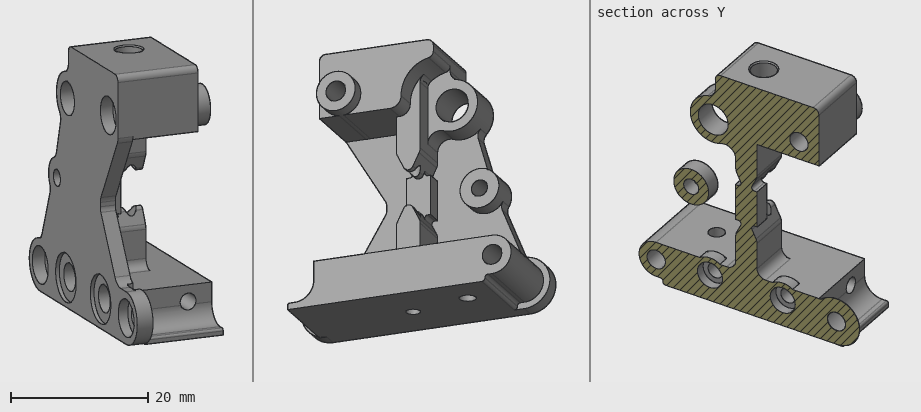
import cadquery as cq
import math

plate_thickness = 2.4
total_depth = 14.95
total_height = 39.85
corner_radius = 1.0
edge_fillet = 1.5

ear_x = 15.5
ear_radius = 4.0
ear_z = ear_radius
right_ear_depth = 2.5
right_flank_thickness = 1.5
screw_hole_dia = 3.05
screw_head_dia = 5.7
right_head_depth = 1.5
screw_head_depth = 2.0

top_left_x = -5.4
top_right_x = 12.5
neck_x = 6.15
neck_half_height = 0.75
shoulder_z = 29.97
flank_start_x = 12.15
flank_fillet = 2.4
left_waist_x = -10.85
left_foot_x = -16.9
left_flank_top_x = -7.0

large_boss_x = -5.7
large_boss_z = 31.73
large_boss_radius = 4.0
large_boss_depth = 6.2
large_bore_dia = 5.05
gear_z = 18.75
small_boss_x = -9.5
small_boss_dia = 6.1
small_boss_depth = 5.0
small_bore_dia = 2.5

body_depth = 12.75
body_left_x = -0.3
body_lower_radius = 1.7
clearance_radius = body_left_x - large_boss_x
bar_corner_radius = 0.9
post_x = 9.05
post_z = 33.0
post_dia = 6.1

column_depth = 9.15
column_half_width = 1.87
wedge_apex_offset = 1.75
wedge_slope = 2.0
wedge_tip_radius = 0.8
wedge_shoulder_radius = 1.6
wedge_run = wedge_apex_offset + wedge_slope * column_half_width + wedge_shoulder_radius
column_top_fillet = 1.45
column_boss_fillet = 1.85
column_foot_fillet = 1.47
root_half_width = column_half_width + 2 * column_foot_fillet
bridge_half_height = 3.05
bridge_depth = 5.15
bridge_fillet = 0.48

filament_y = 7.25
filament_dia = 2.1
coupler_dia = 4.0
coupler_depth = 4.4
coupler_chamfer = 0.2

block_height = 6.98
block_end_radius = block_height - ear_z
shelf_height = ear_z - block_end_radius
shelf_overhang = 1.1
shelf_corner_radius = 0.35
foot_step_radius = 0.48
foot_hole_x = -9.45
foot_hole_y = 9.4
foot_hole_dia = 2.5

port_x = 6.25
port_z = 4.45
port_seat_dia = 7.4
port_seat_depth = 0.6
port_bore_dia = 4.23
port_bore_depth = 4.0
port_hole_dia = 2.5
port_collar_dia = 6.1
port_collar_depth = 4.3
channel_y = 11.15


def front_plane(y):
    """XZ sketch plane at depth y; a negative extrusion goes toward +Y."""
    return cq.Workplane("XZ", origin=(0, y, 0))


def prism(points, y_start, y_end):
    return front_plane(y_start).polyline(points).close().extrude(y_start - y_end)


def slab(x_min, x_max, z_min, z_max, y_start, y_end):
    corners = [(x_min, z_min), (x_max, z_min), (x_max, z_max), (x_min, z_max)]
    return prism(corners, y_start, y_end)


def rod(x, z, diameter, y_start, y_end):
    return front_plane(y_start).center(x, z).circle(diameter / 2).extrude(y_start - y_end)


def round_corner(solid, x, z, radius):
    """Round the edge along Y that is nearest to (x, z)."""
    y = solid.val().BoundingBox().center.y
    return solid.edges("|Y").edges(cq.NearestToPointSelector((x, y, z))).fillet(radius)


def leave_circle(inside, outside, center, radius):
    """Point where the line from a point inside a circle to one outside it crosses the circle."""
    dx, dz = outside[0] - inside[0], outside[1] - inside[1]
    ox, oz = inside[0] - center[0], inside[1] - center[1]
    a = dx**2 + dz**2
    b = ox * dx + oz * dz
    c = ox**2 + oz**2 - radius**2
    step = (math.sqrt(b**2 - a * c) - b) / a
    return inside[0] + step * dx, inside[1] + step * dz


def rise(radius, offset):
    """Height of a circle above its center at a sideways offset."""
    return math.sqrt(radius**2 - offset**2)


def make_plate():
    flank_top = (left_flank_top_x, large_boss_z)
    waist = (left_waist_x, gear_z)
    flank_foot = (left_foot_x, ear_z)
    outline = [
        (-ear_x, 0),
        (ear_x, 0),
        (ear_x, 2 * ear_radius),
        (flank_start_x, 2 * ear_radius),
        (neck_x, gear_z - neck_half_height),
        (neck_x, gear_z + neck_half_height),
        (top_right_x, shoulder_z),
        (top_right_x, total_height),
        (top_left_x, total_height),
        (top_left_x, large_boss_z),
        flank_top,
        waist,
        flank_foot,
        (-ear_x, ear_z),
    ]
    plate = prism(outline, 0, plate_thickness)
    for x in (-ear_x, ear_x):
        plate = plate.union(rod(x, ear_z, 2 * ear_radius, 0, plate_thickness))
    plate = plate.union(rod(large_boss_x, large_boss_z, 2 * large_boss_radius, 0, plate_thickness))
    plate = plate.union(rod(small_boss_x, gear_z, small_boss_dia, 0, plate_thickness))

    plate = round_corner(plate, flank_start_x, 2 * ear_radius, flank_fillet)
    for x in (top_left_x, top_right_x):
        plate = round_corner(plate, x, total_height, corner_radius)
    edge_corners = [
        (neck_x, gear_z - neck_half_height),
        (neck_x, gear_z + neck_half_height),
        (top_right_x, shoulder_z),
        (top_left_x, large_boss_z + large_boss_radius),
        leave_circle(flank_top, waist, (large_boss_x, large_boss_z), large_boss_radius),
        leave_circle(waist, flank_top, (small_boss_x, gear_z), small_boss_dia / 2),
        leave_circle(waist, flank_foot, (small_boss_x, gear_z), small_boss_dia / 2),
        leave_circle(flank_foot, waist, (-ear_x, ear_z), ear_radius),
    ]
    for x, z in edge_corners:
        plate = round_corner(plate, x, z, edge_fillet)

    flank_relief = slab(top_right_x, ear_x + ear_radius, block_height, shoulder_z,
                        right_flank_thickness, plate_thickness)
    return plate.cut(flank_relief).union(rod(ear_x, ear_z, 2 * ear_radius, 0, right_ear_depth))


def make_large_boss():
    """Boss around the large bore, blended into the top corner and the column."""
    boss = rod(large_boss_x, large_boss_z, 2 * large_boss_radius, 0, large_boss_depth)
    boss = boss.union(slab(top_left_x, column_half_width, large_boss_z, total_height, 0, large_boss_depth))
    boss = boss.union(slab(-column_half_width, column_half_width, gear_z + wedge_run, large_boss_z,
                           0, large_boss_depth))
    boss = round_corner(boss, top_left_x, total_height, corner_radius)
    boss = round_corner(boss, top_left_x, large_boss_z + large_boss_radius, edge_fillet)
    meeting_z = large_boss_z - rise(large_boss_radius, large_boss_x + column_half_width)
    return round_corner(boss, -column_half_width, meeting_z, column_boss_fillet)


def make_rear_body():
    """Deep body under the top edge with the filament column's upper half hanging below it."""
    body = slab(top_left_x, top_right_x, shoulder_z, total_height, plate_thickness, body_depth)
    clearance = rod(large_boss_x, large_boss_z, 2 * clearance_radius, plate_thickness, body_depth)
    clearance = clearance.union(slab(large_boss_x - clearance_radius, body_left_x, shoulder_z, large_boss_z,
                                     plate_thickness, body_depth))
    body = body.cut(clearance)
    for x in (top_left_x, top_right_x):
        body = round_corner(body, x, total_height, corner_radius)
    body = round_corner(body, top_left_x, large_boss_z + clearance_radius, bar_corner_radius)
    body = round_corner(body, body_left_x, shoulder_z, body_lower_radius)
    return body.union(rod(post_x, post_z, post_dia, 0, total_depth))


def wedge_outline(side, end_z):
    """Column end that tapers to a point toward the gear axis; side is +1 above it, -1 below it."""
    apex_z = gear_z + side * wedge_apex_offset
    shoulder_z = apex_z + side * wedge_slope * column_half_width
    return [
        (0, apex_z),
        (column_half_width, shoulder_z),
        (column_half_width, end_z),
        (-column_half_width, end_z),
        (-column_half_width, shoulder_z),
    ]


def make_column_half(side, end_z):
    """Column between its rounded wedge tip and end_z."""
    apex_z = gear_z + side * wedge_apex_offset
    half = prism(wedge_outline(side, end_z), plate_thickness, column_depth)
    half = round_corner(half, 0, apex_z, wedge_tip_radius)
    for x in (-column_half_width, column_half_width):
        half = round_corner(half, x, apex_z + side * wedge_slope * column_half_width, wedge_shoulder_radius)
    return half


def make_upper_column():
    """Upper half, flared where it meets the clearance around the large boss."""
    root_left_x = top_left_x + corner_radius
    half = make_column_half(1, total_height - corner_radius)
    root = slab(root_left_x, column_half_width, large_boss_z, total_height - corner_radius,
                plate_thickness, column_depth)
    root = root.cut(rod(large_boss_x, large_boss_z, 2 * clearance_radius, plate_thickness, column_depth))
    half = half.union(root)
    meeting_z = large_boss_z + rise(clearance_radius, large_boss_x + column_half_width)
    return round_corner(half, -column_half_width, meeting_z, column_top_fillet)


def make_lower_column():
    """Lower half, flared where it stands on the foot."""
    half = make_column_half(-1, shelf_height)
    half = half.union(slab(-root_half_width, root_half_width, shelf_height, block_height,
                           plate_thickness, column_depth))
    for x in (-column_half_width, column_half_width):
        half = round_corner(half, x, block_height, column_foot_fillet)
    return half


def make_bridge():
    """Web behind the plate that joins the two wedge tips across the gap."""
    bridge = slab(-column_half_width, column_half_width, gear_z - bridge_half_height,
                  gear_z + bridge_half_height, plate_thickness, bridge_depth)
    corner_x = (bridge_half_height - wedge_apex_offset) / wedge_slope
    reach = bridge_half_height + 2 * bridge_fillet
    for side in (1, -1):
        wedge = wedge_outline(side, gear_z + side * wedge_run)
        bridge = bridge.union(prism(wedge, plate_thickness, bridge_depth))
        for x in (-corner_x, corner_x):
            bridge = round_corner(bridge, x, gear_z + side * bridge_half_height, bridge_fillet)
    return bridge.intersect(slab(-column_half_width, column_half_width, gear_z - reach, gear_z + reach,
                                 plate_thickness, bridge_depth))


def make_foot_block():
    """Foot with a round left end and, on the right, a round pocket above a thin shelf."""
    shelf_end_x = ear_x + shelf_overhang
    step_x = -ear_x + shelf_overhang
    block = slab(-ear_x, ear_x, 0, block_height, right_flank_thickness, total_depth)
    block = block.union(rod(-ear_x, ear_z, 2 * block_end_radius, right_flank_thickness, total_depth))
    block = block.cut(slab(-ear_x, step_x, 0, shelf_height, right_flank_thickness, total_depth))
    block = round_corner(block, step_x, shelf_height, foot_step_radius)
    block = round_corner(block, step_x, 0, foot_step_radius)

    pocket_left_x = ear_x - block_end_radius
    pocket = rod(ear_x, ear_z, 2 * block_end_radius, right_ear_depth, total_depth)
    pocket = pocket.union(slab(pocket_left_x, ear_x, ear_z, block_height, right_ear_depth, total_depth))
    shelf = slab(ear_x, shelf_end_x, 0, shelf_height, right_ear_depth, total_depth)
    shelf = round_corner(shelf, shelf_end_x, shelf_height, shelf_corner_radius)
    return block.cut(pocket).union(shelf)


def make_port_collars():
    collars = rod(-port_x, port_z, port_collar_dia, 0, port_collar_depth)
    return collars.union(rod(port_x, port_z, port_collar_dia, 0, port_collar_depth))


def screw_cut(x, z, head_depth):
    """Counterbored screw hole through the full depth."""
    return rod(x, z, screw_hole_dia, 0, total_depth).union(rod(x, z, screw_head_dia, 0, head_depth))


def port_cuts():
    """Stepped ports, and the channel along X that joins them with a ball end under the left port."""
    channel_length = 2 * ear_x
    channel_start = (-port_x, channel_y, port_z)
    cuts = cq.Workplane("YZ", origin=channel_start).circle(port_hole_dia / 2).extrude(channel_length)
    ball = cq.Workplane("XY", origin=channel_start).sphere(port_hole_dia / 2)
    cuts = cuts.union(ball)
    for x in (-port_x, port_x):
        cuts = cuts.union(rod(x, port_z, port_seat_dia, 0, port_seat_depth))
        cuts = cuts.union(rod(x, port_z, port_bore_dia, 0, port_bore_depth))
        cuts = cuts.union(rod(x, port_z, port_hole_dia, 0, channel_y))
    return cuts


def filament_cuts():
    """Filament hole along Z with a chamfered coupler socket at the top."""
    top = cq.Workplane("XY", origin=(0, filament_y, total_height))
    hole = top.circle(filament_dia / 2).extrude(-total_height)
    socket = top.circle(coupler_dia / 2).extrude(-coupler_depth)
    mouth = top.circle(coupler_dia / 2 + coupler_chamfer).extrude(-coupler_chamfer, taper=45)
    return hole.union(socket).union(mouth)


def foot_hole_cut():
    return cq.Workplane("XY").center(foot_hole_x, foot_hole_y).circle(foot_hole_dia / 2).extrude(block_height)


features = [
    make_large_boss(),
    make_rear_body(),
    make_upper_column(),
    make_lower_column(),
    make_bridge(),
    rod(small_boss_x, gear_z, small_boss_dia, 0, small_boss_depth),
    make_foot_block(),
    make_port_collars(),
]
cuts = [
    rod(large_boss_x, large_boss_z, large_bore_dia, 0, large_boss_depth),
    rod(small_boss_x, gear_z, small_bore_dia, 0, small_boss_depth),
    screw_cut(-ear_x, ear_z, screw_head_depth),
    screw_cut(ear_x, ear_z, right_head_depth),
    screw_cut(post_x, post_z, screw_head_depth),
    port_cuts(),
    filament_cuts(),
    foot_hole_cut(),
]

result = make_plate()
for feature in features:
    result = result.union(feature)
for cut in cuts:
    result = result.cut(cut)